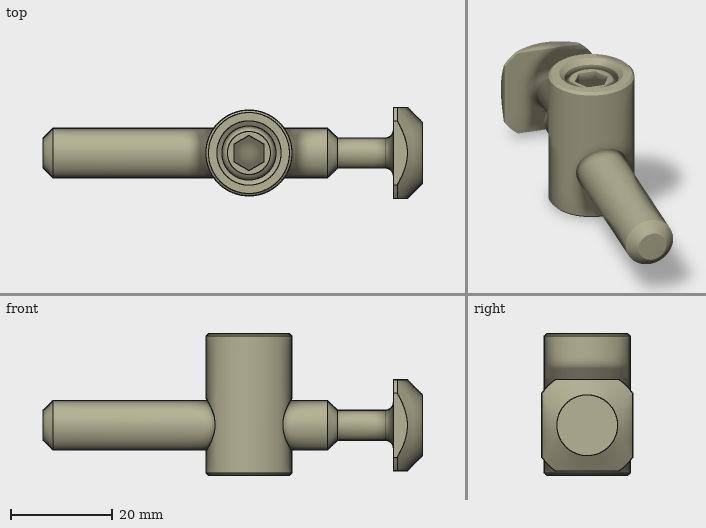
import cadquery as cq
import math

ROD_DIAMETER = 9.8
ROD_LENGTH = 58.2
ROD_CHAMFER = 2.0
NECK_DIAMETER = 6.0
NECK_LENGTH = 11.0
NECK_FILLET = 1.5

HEAD_THICKNESS = 5.8
HEAD_DIAMETER = 22.0
HEAD_RIM_THICKNESS = 0.8
HEAD_SQUARE = 18.0

SLEEVE_DIAMETER = 17.0
SLEEVE_HEIGHT = 28.0
SLEEVE_CHAMFER = 0.5
SLEEVE_X = 40.7
CROSS_HOLE_DIAMETER = 10.5
CROSS_HOLE_HEIGHT = 10.0
ROD_DROP = 0.1

RECESS_DIAMETER = 10.7
RECESS_COUNTERSINK = 1.0
SCREW_DEPTH = 1.4
SCREW_FACE_DIAMETER = 8.5
SOCKET_ACROSS_FLATS = 6.0
SOCKET_DEPTH = 6.0
HEXAGON_SIDES = 6

SLEEVE_BOTTOM = ROD_DROP - CROSS_HOLE_HEIGHT
SLEEVE_TOP = SLEEVE_BOTTOM + SLEEVE_HEIGHT


def make_shank():
    """Rod with chamfered ends and a neck that flares into the head."""
    rod_radius = ROD_DIAMETER / 2
    neck_radius = NECK_DIAMETER / 2
    head_start = ROD_LENGTH + NECK_LENGTH
    diagonal = NECK_FILLET * math.sqrt(0.5)
    fillet_middle = (
        head_start - NECK_FILLET + diagonal,
        neck_radius + NECK_FILLET - diagonal,
    )
    return (
        cq.Workplane("XY")
        .lineTo(0, rod_radius - ROD_CHAMFER)
        .lineTo(ROD_CHAMFER, rod_radius)
        .lineTo(ROD_LENGTH - ROD_CHAMFER, rod_radius)
        .lineTo(ROD_LENGTH, neck_radius)
        .lineTo(head_start - NECK_FILLET, neck_radius)
        .threePointArc(fillet_middle, (head_start, neck_radius + NECK_FILLET))
        .lineTo(head_start, 0)
        .close()
        .revolve(360, (0, 0, 0), (1, 0, 0))
    )


def make_head():
    """Disc with a 45 degree conical back, cut to a square with rounded corners."""
    start = ROD_LENGTH + NECK_LENGTH
    end = start + HEAD_THICKNESS
    radius = HEAD_DIAMETER / 2
    back_radius = radius - (HEAD_THICKNESS - HEAD_RIM_THICKNESS)
    disc = (
        cq.Workplane("XY")
        .moveTo(start, 0)
        .lineTo(start, radius)
        .lineTo(start + HEAD_RIM_THICKNESS, radius)
        .lineTo(end, back_radius)
        .lineTo(end, 0)
        .close()
        .revolve(360, (0, 0, 0), (1, 0, 0))
    )
    square = (
        cq.Workplane("YZ", origin=(start, 0, 0))
        .rect(HEAD_SQUARE, HEAD_SQUARE)
        .extrude(HEAD_THICKNESS)
    )
    return disc.intersect(square)


def make_clamp_bolt():
    """Shank and head as one solid."""
    return make_shank().union(make_head())


def make_screw_recess():
    """Cut for the countersunk recess, down to the 45 degree chamfered screw end."""
    recess_radius = RECESS_DIAMETER / 2
    screw_radius = SCREW_FACE_DIAMETER / 2
    screw_chamfer = recess_radius - screw_radius
    screw_z = -SCREW_DEPTH
    return (
        cq.Workplane("XZ")
        .lineTo(recess_radius + RECESS_COUNTERSINK, 0)
        .lineTo(recess_radius, -RECESS_COUNTERSINK)
        .lineTo(recess_radius, screw_z - screw_chamfer)
        .lineTo(screw_radius, screw_z)
        .lineTo(0, screw_z)
        .close()
        .revolve(360, (0, 0, 0), (0, 1, 0))
        .translate((SLEEVE_X, 0, SLEEVE_TOP))
    )


def make_hex_socket():
    """Hexagonal prism with flats facing along X."""
    half_side_angle = 180 / HEXAGON_SIDES
    across_corners = SOCKET_ACROSS_FLATS / math.cos(math.radians(half_side_angle))
    return (
        cq.Workplane("XY")
        .polygon(HEXAGON_SIDES, across_corners)
        .extrude(-SOCKET_DEPTH)
        .rotate((0, 0, 0), (0, 0, 1), half_side_angle)
        .translate((SLEEVE_X, 0, SLEEVE_TOP - SCREW_DEPTH))
    )


def make_sleeve():
    """Cross sleeve with its clamping screw as one solid."""
    blank = (
        cq.Workplane("XY", origin=(SLEEVE_X, 0, SLEEVE_BOTTOM))
        .circle(SLEEVE_DIAMETER / 2)
        .extrude(SLEEVE_HEIGHT)
        .edges("%CIRCLE")
        .chamfer(SLEEVE_CHAMFER)
    )
    cross_hole = (
        cq.Workplane("YZ", origin=(SLEEVE_X, 0, ROD_DROP))
        .circle(CROSS_HOLE_DIAMETER / 2)
        .extrude(SLEEVE_DIAMETER, both=True)
    )
    return blank.cut(cross_hole).cut(make_screw_recess()).cut(make_hex_socket())


clamp_bolt = make_clamp_bolt()
sleeve = make_sleeve()

result = cq.Compound.makeCompound([clamp_bolt.val(), sleeve.val()])